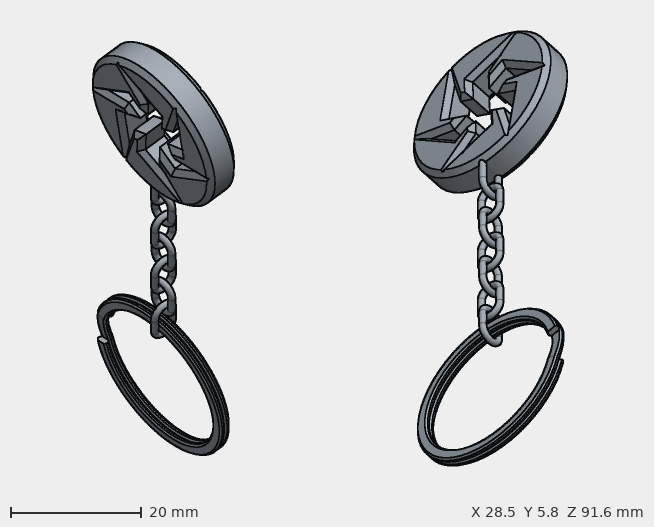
import cadquery as cq
import math

OVERALL_HEIGHT = 91.6

DISC_RADIUS = 13.7
DISC_THICKNESS = 5.8
DISC_CHAMFER = 0.9
BLADE_COUNT = 6
SLOT_END = (10.3, 57.6)
BLADE_HEEL = (6.9, 73.7)
BLADE_TIP = (3.1, 55.5)
BLADE_TOE = (5.9, 42.2)

LINK_COUNT = 6
LINK_LENGTH = 7.9
LINK_WIDTH = 4.9
LINK_WIRE = 1.2
LINK_BITE = 0.2
LINK_PITCH = LINK_LENGTH - 2 * LINK_WIRE + LINK_BITE
LINK_BEND = (LINK_WIDTH - LINK_WIRE) / 2
FIRST_LINK_DROP = 21.2

EYE_BEND_DROP = FIRST_LINK_DROP - LINK_LENGTH / 2 + 1.5 * LINK_WIRE - LINK_BEND
EYE_EMBED = 1.8

RING_RADIUS = 28.5 / 2
COIL_WIDTH = 2.0
COIL_THICKNESS = 1.0
COIL_CHAMFER = 0.32
CROSSOVER_HALF_ANGLE = 14.0
CROSSOVER_STEPS = 4
RING_DROP = OVERALL_HEIGHT - DISC_RADIUS - RING_RADIUS
RING_Y = COIL_THICKNESS - (LINK_WIDTH / 2 - LINK_WIRE)


def polar_point(radius, angle):
    """Point at an angle in degrees, anticlockwise from +X."""
    return (radius * math.cos(math.radians(angle)), radius * math.sin(math.radians(angle)))


def opening_points():
    """Outline of the disc opening: six slots that meet in the middle."""
    points = []
    for blade in range(BLADE_COUNT):
        turn = -blade * 360.0 / BLADE_COUNT
        for radius, angle in (BLADE_HEEL, BLADE_TIP, BLADE_TOE, SLOT_END):
            points.append(polar_point(radius, angle + turn))
    return points


def make_disc_blank():
    return (
        cq.Workplane("XZ", origin=(0, DISC_THICKNESS / 2, 0))
        .circle(DISC_RADIUS)
        .extrude(DISC_THICKNESS)
        .edges()
        .chamfer(DISC_CHAMFER)
    )


def make_opening():
    """Through opening, flared at 45 degrees towards both faces of the disc."""
    half = DISC_THICKNESS / 2
    opening = cq.Workplane("XZ").polyline(opening_points()).close().extrude(half, both=True)
    narrow = cq.Workplane("XZ", origin=(0, DISC_CHAMFER - half, 0)).polyline(opening_points()).close()
    wide = (
        cq.Workplane("XZ", origin=(0, -half, 0))
        .polyline(opening_points())
        .close()
        .offset2D(DISC_CHAMFER, "intersection")
    )
    flare = cq.Workplane(cq.Solid.makeLoft([narrow.val(), wide.val()], True))
    return opening.union(flare).union(flare.mirror("XZ"))


def make_eye():
    """U of round wire in the YZ plane, with its legs rooted in the disc rim."""
    root = EYE_EMBED - DISC_RADIUS
    path = (
        cq.Workplane("YZ")
        .moveTo(LINK_BEND, root)
        .lineTo(LINK_BEND, -EYE_BEND_DROP)
        .threePointArc((0, -EYE_BEND_DROP - LINK_BEND), (-LINK_BEND, -EYE_BEND_DROP))
        .lineTo(-LINK_BEND, root)
    )
    return cq.Workplane("XY", origin=(0, LINK_BEND, root)).circle(LINK_WIRE / 2).sweep(path)


def make_disc():
    return make_disc_blank().cut(make_opening()).union(make_eye())


def make_link():
    """Oval link of round wire in the XZ plane, centred on the origin."""
    half_straight = (LINK_LENGTH - LINK_WIDTH) / 2
    path = (
        cq.Workplane("XZ")
        .moveTo(LINK_BEND, -half_straight)
        .lineTo(LINK_BEND, half_straight)
        .threePointArc((0, half_straight + LINK_BEND), (-LINK_BEND, half_straight))
        .lineTo(-LINK_BEND, -half_straight)
        .threePointArc((0, -half_straight - LINK_BEND), (LINK_BEND, -half_straight))
        .close()
    )
    return (
        cq.Workplane("XY", origin=(LINK_BEND, 0, -half_straight))
        .circle(LINK_WIRE / 2)
        .sweep(path)
    )


def make_chain():
    """Links joined end to end, each a quarter turn from the one before."""
    link = make_link()
    chain = cq.Workplane()
    for index in range(LINK_COUNT):
        turn = 90 * (index % 2)
        drop = FIRST_LINK_DROP + index * LINK_PITCH
        chain = chain.add(link.rotate((0, 0, 0), (0, 0, 1), turn).translate((0, 0, -drop)))
    return chain.combine()


def coil_section(angle, axial_middle):
    """Chamfered coil section in the radial plane at an angle from +X towards +Z."""
    radial = (math.cos(math.radians(angle)), 0, math.sin(math.radians(angle)))
    plane = cq.Plane(
        origin=(0, 0, 0),
        xDir=radial,
        normal=(-radial[2], 0, radial[0]),
    )
    inner = RING_RADIUS - COIL_WIDTH
    low = axial_middle - COIL_THICKNESS / 2
    high = axial_middle + COIL_THICKNESS / 2
    return (
        cq.Workplane(plane)
        .moveTo(inner, low + COIL_CHAMFER)
        .lineTo(inner + COIL_CHAMFER, low)
        .lineTo(RING_RADIUS - COIL_CHAMFER, low)
        .lineTo(RING_RADIUS, low + COIL_CHAMFER)
        .lineTo(RING_RADIUS, high - COIL_CHAMFER)
        .lineTo(RING_RADIUS - COIL_CHAMFER, high)
        .lineTo(inner + COIL_CHAMFER, high)
        .lineTo(inner, high - COIL_CHAMFER)
        .close()
    )


def make_coil(axial_middle):
    """One open turn of the split ring, with its gap on the -X side."""
    sweep_angle = 360 - 2 * CROSSOVER_HALF_ANGLE
    section = coil_section(180 - CROSSOVER_HALF_ANGLE, axial_middle)
    return section.revolve(sweep_angle, (0, 0), (0, 1))


def make_crossover():
    """Slanted piece through the gap, joining the upper end of the front coil to the lower end of the back."""
    sections = []
    for step in range(CROSSOVER_STEPS + 1):
        travel = 2 * step / CROSSOVER_STEPS - 1
        section = coil_section(180 + travel * CROSSOVER_HALF_ANGLE, travel * COIL_THICKNESS / 2)
        sections.append(section.val())
    return cq.Workplane(cq.Solid.makeLoft(sections))


def make_split_ring():
    front_coil = make_coil(-COIL_THICKNESS / 2)
    back_coil = make_coil(COIL_THICKNESS / 2)
    ring = front_coil.union(back_coil).union(make_crossover())
    return ring.translate((0, RING_Y, -RING_DROP))


disc = make_disc()
chain = make_chain()
split_ring = make_split_ring()

result = cq.Compound.makeCompound([disc.solids().val(), chain.solids().val(), split_ring.solids().val()])